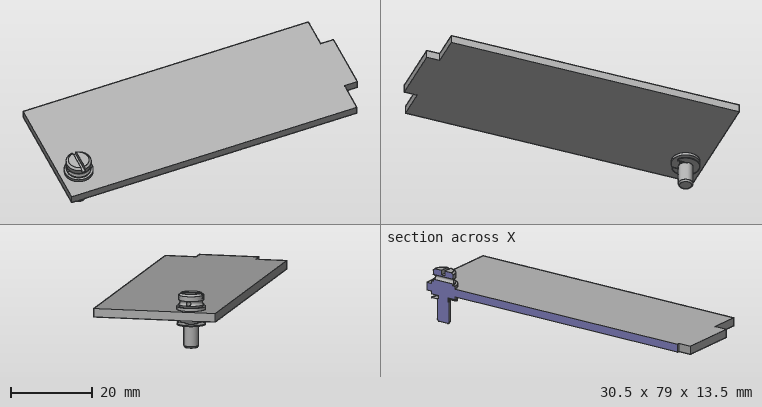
import cadquery as cq

total_length = 79
plate_width = 30.5
plate_thickness = 2.1
tab_width = 15
tab_length = 3.4

screw_x = plate_width / 2 - 7.2
screw_y = 4.9

flange_radius = 3.55
flange_height = 0.7
flange_top = plate_thickness + flange_height

head_radius = 3.1
head_top_radius = 2.5
head_base_radius = 2.9
head_chamfer_height = 0.5
head_base_height = 0.5
head_height = 3.3
groove_height = 1.2
groove_depth = 0.3
head_top = flange_top + head_height
groove_bottom = flange_top + head_base_height
groove_top = groove_bottom + groove_height
driver_slot_width = 0.95
driver_slot_depth = 1.2
cross_hole_diameter = 1.1

neck_radius = 1.5
shank_radius = 1.8
tip_radius = 1.5
tip_height = 0.5
screw_depth = 7.35

clip_radius = 3.5
clip_thickness = 0.2
clip_gap = 0.7
clip_flat_offset = 2.8
clip_top = -flange_height - clip_gap
clip_bottom = clip_top - clip_thickness


def make_plate():
    tab_root = total_length - tab_length
    body = cq.Workplane("XY").box(plate_width, tab_root, plate_thickness, centered=(True, False, False))
    tab = cq.Workplane("XY").box(tab_width, total_length, plate_thickness, centered=(True, False, False))
    return body.union(tab)


def make_screw():
    """Screw and grommet turned about Z, then cut by the driver slot and the cross hole."""
    turned = (
        cq.Workplane("XZ")
        .moveTo(0, -screw_depth)
        .lineTo(tip_radius, -screw_depth)
        .lineTo(shank_radius, -screw_depth + tip_height)
        .lineTo(shank_radius, clip_bottom)
        .lineTo(neck_radius, clip_bottom)
        .lineTo(neck_radius, -flange_height)
        .lineTo(flange_radius, -flange_height)
        .lineTo(flange_radius, flange_top)
        .lineTo(head_base_radius, flange_top)
        .lineTo(head_radius, groove_bottom)
        .threePointArc(
            (head_radius - groove_depth, (groove_bottom + groove_top) / 2),
            (head_radius, groove_top),
        )
        .lineTo(head_radius, head_top - head_chamfer_height)
        .lineTo(head_top_radius, head_top)
        .lineTo(0, head_top)
        .close()
        .revolve(360, (0, 0, 0), (0, 1, 0))
    )
    driver_slot = (
        cq.Workplane("XY", origin=(0, 0, head_top - driver_slot_depth))
        .box(2 * head_radius, driver_slot_width, driver_slot_depth, centered=(True, True, False))
    )
    cross_hole = (
        cq.Workplane("XZ", origin=(0, 0, (groove_bottom + groove_top) / 2))
        .circle(cross_hole_diameter / 2)
        .extrude(head_radius, both=True)
    )
    return turned.cut(driver_slot).cut(cross_hole)


def make_clip():
    """Disc cut flat on its +Y side, where a slot as wide as the neck opens."""
    clip_plane = cq.Workplane("XY", origin=(0, 0, clip_bottom))
    disc = clip_plane.circle(clip_radius).extrude(clip_thickness)
    beyond_flat = (
        clip_plane.center(0, clip_flat_offset)
        .rect(2 * clip_radius, 2 * clip_radius)
        .extrude(clip_thickness)
        .translate((0, clip_radius, 0))
    )
    opening = clip_plane.rect(2 * neck_radius, clip_radius).extrude(clip_thickness)
    opening = opening.translate((0, clip_radius / 2, 0))
    return disc.cut(beyond_flat).cut(opening)


screw_assembly = make_screw().union(make_clip()).translate((screw_x, screw_y, 0))
result = make_plate().union(screw_assembly)